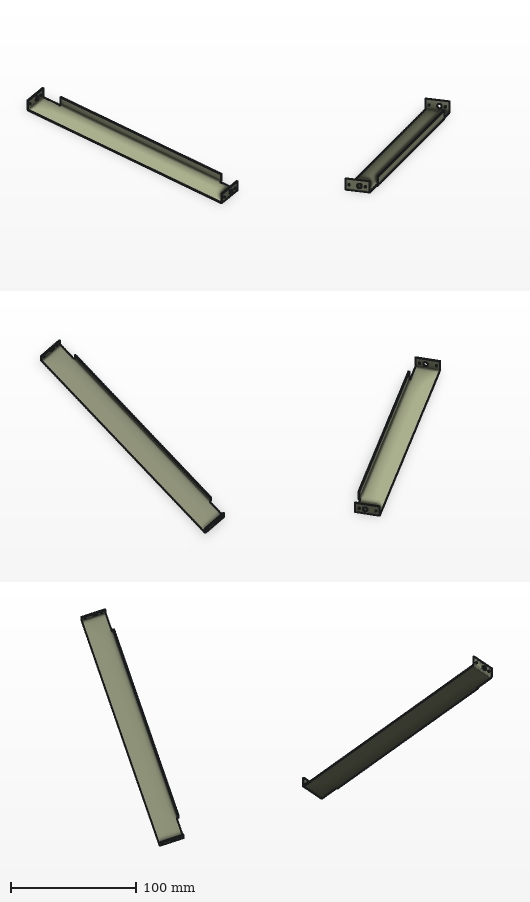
import cadquery as cq

length = 196.0
overall_width = 21.8
end_height = 10.0

thickness = 1.0
inner_radius = 0.5
outer_radius = inner_radius + thickness

rear_length = 161.3
rear_height = 8.2

base_width = overall_width - outer_radius
front_y = -overall_width / 2
rear_y = overall_width / 2

end_holes = [(3.0, 1.2), (11.8, 4.0), (16.9, 1.4)]
hole_height = end_height / 2


def make_channel():
    """Base with an upturned flange at each end, bent from one strip."""
    outer = (
        cq.Workplane("XY")
        .box(length, base_width, end_height, centered=(True, False, False))
        .edges("|Y and <Z")
        .fillet(outer_radius)
    )
    inner = (
        cq.Workplane("XY")
        .box(length - 2 * thickness, base_width, end_height, centered=(True, False, False))
        .edges("|Y and <Z")
        .fillet(inner_radius)
        .translate((0, 0, thickness))
    )
    return outer.cut(inner).translate((0, front_y, 0))


def make_rear_flange():
    """Short flange with its quarter-round bend, rising behind the base."""
    bend_y = rear_y - outer_radius
    diagonal = 0.5 ** 0.5
    return (
        cq.Workplane("YZ")
        .moveTo(bend_y, 0)
        .threePointArc(
            (bend_y + outer_radius * diagonal, outer_radius * (1 - diagonal)),
            (rear_y, outer_radius),
        )
        .lineTo(rear_y, rear_height)
        .lineTo(rear_y - thickness, rear_height)
        .lineTo(rear_y - thickness, outer_radius)
        .threePointArc(
            (bend_y + inner_radius * diagonal, outer_radius - inner_radius * diagonal),
            (bend_y, thickness),
        )
        .close()
        .extrude(rear_length / 2, both=True)
    )


def make_end_hole(front_distance, diameter):
    """Cylinder that pierces both end flanges."""
    return (
        cq.Workplane("YZ")
        .center(front_y + front_distance, hole_height)
        .circle(diameter / 2)
        .extrude(length, both=True)
    )


result = make_channel().union(make_rear_flange())
for front_distance, diameter in end_holes:
    result = result.cut(make_end_hole(front_distance, diameter))